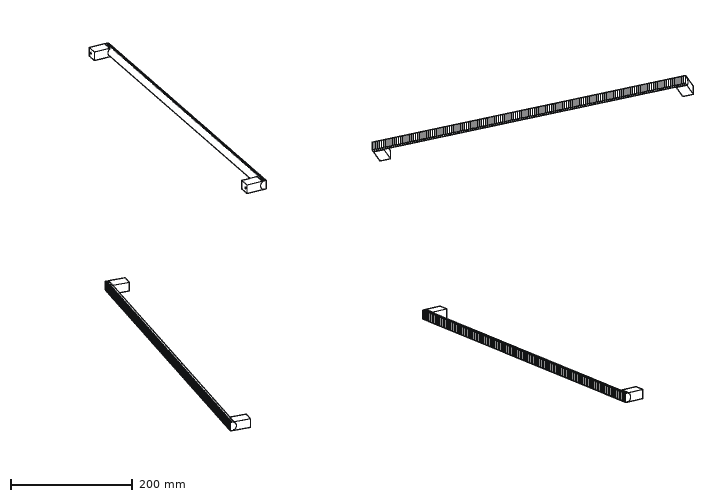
import cadquery as cq

LENGTH = 556.0
DEPTH = 36.0

BAR_DIAMETER = 16.0
BAR_RADIUS = BAR_DIAMETER / 2
FLAT_TO_AXIS = 3.0

GROOVE_SPACES = 166
GROOVE_PITCH = LENGTH / GROOVE_SPACES
GROOVE_WIDTH = 0.3
GROOVE_DEPTH = 3.5

POST_WIDTH = 19.0
POST_HEIGHT = BAR_DIAMETER
POST_LENGTH = 29.5

HOLE_DIAMETER = 3.0
HOLE_DEPTH = 11.0
HOLE_FROM_END = 5.5

BACK_Y = DEPTH / 2
FRONT_Y = -DEPTH / 2
AXIS_Y = BACK_Y - FLAT_TO_AXIS


def make_rod():
    """Full round rod along X, centred on X = 0."""
    return (
        cq.Workplane("YZ", origin=(-LENGTH / 2, 0, 0))
        .center(AXIS_Y, 0)
        .circle(BAR_RADIUS)
        .extrude(LENGTH)
    )


def make_grooves():
    """Cutters for the grooves, running the full height of the bar."""
    return (
        cq.Workplane("XZ", origin=(0, BACK_Y, 0))
        .rarray(GROOVE_PITCH, 5.5, GROOVE_SPACES - 1, 1)
        .rect(GROOVE_WIDTH, BAR_DIAMETER)
        .extrude(GROOVE_DEPTH)
    )


def make_bar():
    """Rod with everything behind the flat removed and the grooves cut into the flat."""
    behind_flat = cq.Workplane("XY").box(LENGTH, BAR_DIAMETER, BAR_DIAMETER)
    behind_flat = behind_flat.translate((0, BACK_Y + BAR_DIAMETER / 2, 0))
    return make_rod().cut(behind_flat).cut(make_grooves())


def make_post(side):
    """Post at one end of the bar; side is -1 for the -X end and 1 for the +X end."""
    post_x = side * (LENGTH - POST_WIDTH) / 2
    post = cq.Workplane("XY").box(POST_WIDTH, POST_LENGTH, POST_HEIGHT)
    post = post.translate((post_x, FRONT_Y + POST_LENGTH / 2, 0))
    hole = cq.Solid.makeCylinder(
        HOLE_DIAMETER / 2,
        HOLE_DEPTH,
        cq.Vector(side * (LENGTH / 2 - HOLE_FROM_END), FRONT_Y, 0),
        cq.Vector(0, 1, 0),
    )
    return post.cut(make_rod()).cut(cq.Workplane(hole))


bar = make_bar()
posts = [make_post(side) for side in (-1, 1)]

result = cq.Compound.makeCompound([bar.val(), *[post.val() for post in posts]])